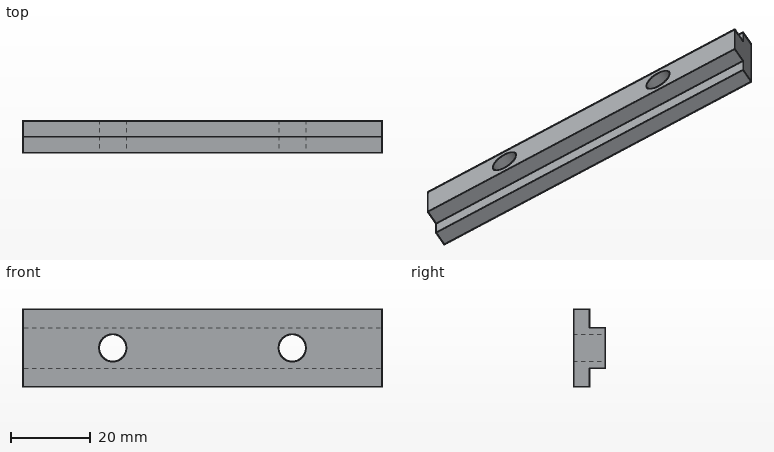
import cadquery as cq

length = 90.0
flange_height = 19.5
flange_thickness = 4.0

total_depth = 8.0
tongue_height = 10.2
tongue_depth = total_depth - flange_thickness

hole_diameter = 6.8
hole_spacing = length / 2


def flange():
    """Plate with its front face on the XZ plane, centred in X and Z."""
    return cq.Workplane("XY").box(length, flange_thickness, flange_height, centered=(True, False, True))


def tongue():
    """Full-length rib on the back face of the flange."""
    return (
        cq.Workplane("XY")
        .box(length, tongue_depth, tongue_height, centered=(True, False, True))
        .translate((0, flange_thickness, 0))
    )


def through_holes():
    """Cylinders running along Y through both flange and tongue."""
    return (
        cq.Workplane("XZ")
        .pushPoints([(-hole_spacing / 2, 0), (hole_spacing / 2, 0)])
        .circle(hole_diameter / 2)
        .extrude(-total_depth)
    )


result = flange().union(tongue()).cut(through_holes())